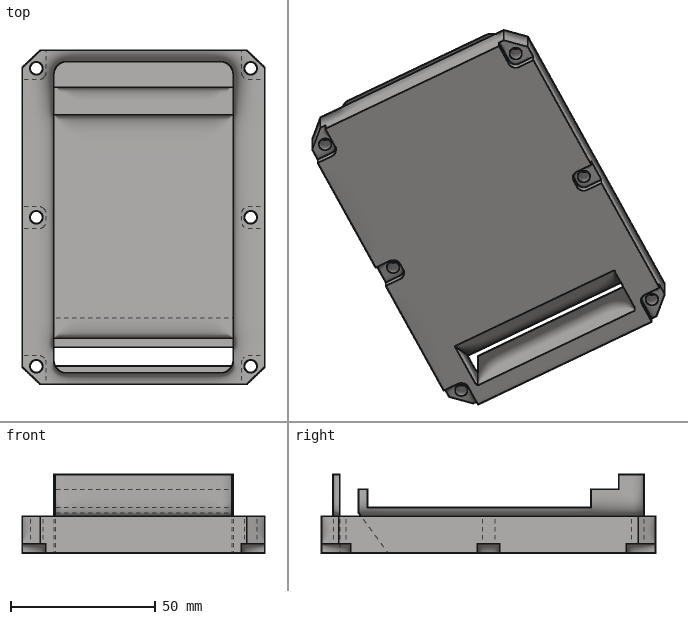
import cadquery as cq

base_width = 84.2
base_length = 116.05
base_height = 12.83
corner_chamfer_x = 6.3
corner_chamfer_y = 6.0

rim_side = 11.0
rim_end = 4.0
raised_width = base_width - 2 * rim_side
raised_length = base_length - 2 * rim_end
raised_corner_radius = 4.32
total_height = 27.33
step_height = 22.2
floor_height = 15.9
rear_wall_thickness = 8.83
rear_step_depth = 9.65
front_wall_thickness = 2.45
slot_length = 6.4
lip_thickness = 3.2

slope_top_height = 14.1
slope_run = 10.3

hole_diameter = 4.32
hole_side_offset = 4.9
hole_end_offset = 6.3
recess_height = 3.2
recess_depth = 8.2
recess_half_length = 3.85
recess_corner_radius = 2.6

front_wall_front = -raised_length / 2
front_wall_back = front_wall_front + front_wall_thickness
lip_front = front_wall_back + slot_length
lip_back = lip_front + lip_thickness
rear_wall_back = raised_length / 2
rear_wall_front = rear_wall_back - rear_wall_thickness
rear_step_front = rear_wall_front - rear_step_depth

hole_x = base_width / 2 - hole_side_offset
hole_y = base_length / 2 - hole_end_offset
hole_rows = (-hole_y, 0, hole_y)


def make_base():
    """Rectangular plate with its four upright corners cut off at an angle."""
    half_width = base_width / 2
    half_length = base_length / 2
    outline = [
        (half_width - corner_chamfer_x, -half_length),
        (half_width, -half_length + corner_chamfer_y),
        (half_width, half_length - corner_chamfer_y),
        (half_width - corner_chamfer_x, half_length),
        (-half_width + corner_chamfer_x, half_length),
        (-half_width, half_length - corner_chamfer_y),
        (-half_width, -half_length + corner_chamfer_y),
        (-half_width + corner_chamfer_x, -half_length),
    ]
    return cq.Workplane("XY").polyline(outline).close().extrude(base_height)


def make_rounded_block():
    """Full-height block with the rounded outline shared by the raised section and the slot."""
    block = cq.Workplane("XY").rect(raised_width, raised_length).extrude(total_height)
    return block.edges("|Z").fillet(raised_corner_radius)


def make_raised_section():
    """Floor, stepped rear wall, lip and front wall, rounded at the outer corners."""
    profile = [
        (front_wall_front, 0),
        (front_wall_front, total_height),
        (front_wall_back, total_height),
        (front_wall_back, base_height),
        (lip_front, base_height),
        (lip_front, step_height),
        (lip_back, step_height),
        (lip_back, floor_height),
        (rear_step_front, floor_height),
        (rear_step_front, step_height),
        (rear_wall_front, step_height),
        (rear_wall_front, total_height),
        (rear_wall_back, total_height),
        (rear_wall_back, 0),
    ]
    stepped = cq.Workplane("YZ").polyline(profile).close().extrude(raised_width / 2, both=True)
    return stepped.intersect(make_rounded_block())


def make_slot():
    """Through slot between front wall and lip, with a sloping rear face that widens it downwards."""
    profile = [
        (front_wall_back, 0),
        (front_wall_back, total_height),
        (lip_front, total_height),
        (lip_front, slope_top_height),
        (lip_front + slope_run, 0),
    ]
    opening = cq.Workplane("YZ").polyline(profile).close().extrude(raised_width / 2, both=True)
    return opening.intersect(make_rounded_block())


def make_recess(side, y_centre):
    """Rounded pocket under one screw, open to the side and, at a corner, to the end as well."""
    inner_x = base_width / 2 - recess_depth
    outer_x = base_width / 2 + recess_depth
    near_y = abs(y_centre) - recess_half_length
    far_y = abs(y_centre) + recess_half_length
    if y_centre != 0:
        far_y += base_length / 2
    pocket = (
        cq.Workplane("XY")
        .box(outer_x - inner_x, far_y - near_y, recess_height, centered=False)
        .translate((inner_x, near_y, 0))
        .edges("|Z and <X")
        .fillet(recess_corner_radius)
    )
    if side < 0:
        pocket = pocket.mirror("YZ")
    if y_centre < 0:
        pocket = pocket.mirror("XZ")
    return pocket


def make_holes():
    """Through holes for all six screws."""
    centres = [(side * hole_x, y) for side in (-1, 1) for y in hole_rows]
    return cq.Workplane("XY").pushPoints(centres).circle(hole_diameter / 2).extrude(base_height)


result = make_base().union(make_raised_section()).cut(make_slot()).cut(make_holes())
for side in (-1, 1):
    for row in hole_rows:
        result = result.cut(make_recess(side, row))